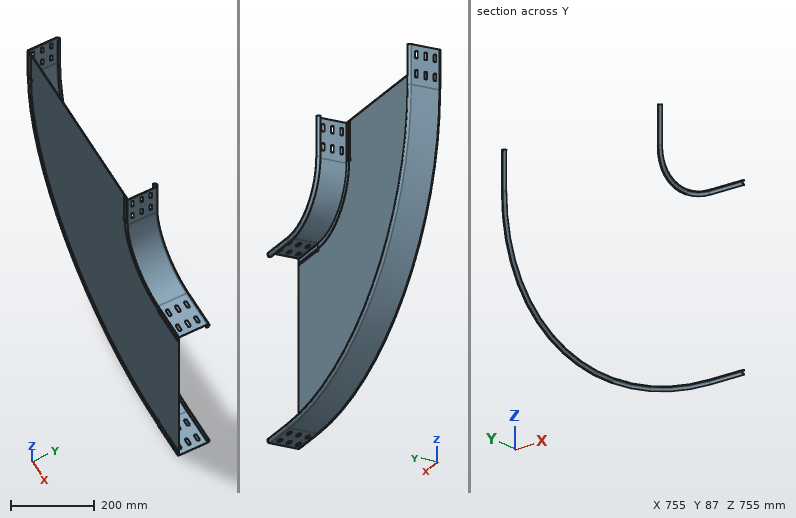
import cadquery as cq


tray_width = 500.0
inner_radius = 150.0
outer_radius = inner_radius + tray_width
leg_length = 105.0
wall_height = 85.0
sheet = 2.0

outer_side = (outer_radius, -1)
inner_side = (inner_radius, 1)
wall_sides = (outer_side, inner_side)

flange_width = 15.0
roll_radius = 6.5
return_lip = 2.0

slot_length = 20.0
slot_width = 7.0
slot_end_distances = (25.0, 75.0)
slot_heights = (14.0, 39.0, 64.0)

strip_length = 100.0
strip_inset = 2.5
joggle_start = 16.0
joggle_end = 19.0

relief_width = 6.0
relief_length = 5.0


def to_right_leg(shape):
    """Turn a shape built for -Z onto the right leg, running towards +X."""
    return shape.rotate((0, 0, 0), (0, 1, 0), -90)


def sweep_bend(section):
    """Sweep a section in the XY plane along upper leg, quarter bend and right leg."""
    profile = cq.Face.makeFromWires(section.val())
    upper_leg = cq.Solid.extrudeLinear(profile, cq.Vector(0, 0, leg_length))
    right_leg = to_right_leg(cq.Solid.extrudeLinear(profile, cq.Vector(0, 0, -leg_length)))
    bend = cq.Solid.revolve(profile, 90, cq.Vector(0, 0, 0), cq.Vector(0, -1, 0))
    return cq.Workplane(upper_leg).union(cq.Workplane(bend)).union(cq.Workplane(right_leg))


def wall_section(face_radius, inward):
    """Wall sheet: bottom flange, upright web and rolled rim, all turned into the tray."""
    def at(offset, height):
        return (-(face_radius + inward * offset), height)

    roll_height = wall_height - roll_radius
    lip_height = roll_height - return_lip
    roll_width = 2 * roll_radius
    return (
        cq.Workplane("XY")
        .moveTo(*at(0, 0))
        .lineTo(*at(0, roll_height))
        .threePointArc(at(roll_radius, wall_height), at(roll_width, roll_height))
        .lineTo(*at(roll_width, lip_height))
        .lineTo(*at(roll_width - sheet, lip_height))
        .lineTo(*at(roll_width - sheet, roll_height))
        .threePointArc(at(roll_radius, wall_height - sheet), at(sheet, roll_height))
        .lineTo(*at(sheet, sheet))
        .lineTo(*at(flange_width, sheet))
        .lineTo(*at(flange_width, 0))
        .close()
    )


def slot_cutters(face_radius, leg_direction):
    """Slots through the web at x = -face_radius, on a leg running along +Z or -Z."""
    centres = [
        (height, leg_direction * (leg_length - distance))
        for distance in slot_end_distances
        for height in slot_heights
    ]
    return (
        cq.Workplane("YZ", origin=(-face_radius, 0, 0))
        .pushPoints(centres)
        .slot2D(slot_length, slot_width, 90)
        .extrude(2 * sheet, both=True)
    )


def make_wall(face_radius, inward):
    """One side wall with its connection slots in both legs."""
    wall = sweep_bend(wall_section(face_radius, inward))
    wall = wall.cut(slot_cutters(face_radius, 1))
    return wall.cut(to_right_leg(slot_cutters(face_radius, -1)))


def edge_strip(face_radius, inward, leg_direction):
    """Strip stepped one sheet thickness below the floor, under the wall flange."""
    def at(offset, height):
        return (-(face_radius + inward * offset), height)

    strip_start = leg_direction * (leg_length - strip_length)
    return (
        cq.Workplane("XY", origin=(0, 0, strip_start))
        .polyline([
            at(strip_inset, 0),
            at(strip_inset, -sheet),
            at(joggle_start, -sheet),
            at(joggle_end, 0),
        ])
        .close()
        .extrude(leg_direction * strip_length)
    )


def relief_cutter(face_radius, inward, leg_direction):
    """Rectangular relief in the floor where a joggle meets the bend."""
    relief_x = -(face_radius + inward * (flange_width + relief_width / 2))
    relief_z = leg_direction * (leg_length - strip_length - relief_length / 2)
    return (
        cq.Workplane("XY")
        .box(relief_width, 2 * sheet, relief_length)
        .translate((relief_x, sheet, relief_z))
    )


def make_floor():
    """Flat plate between the wall flanges, with joggled strips at its four straight edges."""
    outer_edge = outer_radius - flange_width
    inner_edge = inner_radius + flange_width
    plate_section = (
        cq.Workplane("XY")
        .moveTo(-outer_edge, 0)
        .lineTo(-inner_edge, 0)
        .lineTo(-inner_edge, sheet)
        .lineTo(-outer_edge, sheet)
        .close()
    )
    plate = sweep_bend(plate_section)
    for face_radius, inward in wall_sides:
        plate = plate.union(edge_strip(face_radius, inward, 1))
        plate = plate.union(to_right_leg(edge_strip(face_radius, inward, -1)))
        plate = plate.cut(relief_cutter(face_radius, inward, 1))
        plate = plate.cut(to_right_leg(relief_cutter(face_radius, inward, -1)))
    return plate


floor = make_floor()
outer_wall = make_wall(*outer_side)
inner_wall = make_wall(*inner_side)

result = cq.Compound.makeCompound([floor.val(), outer_wall.val(), inner_wall.val()])